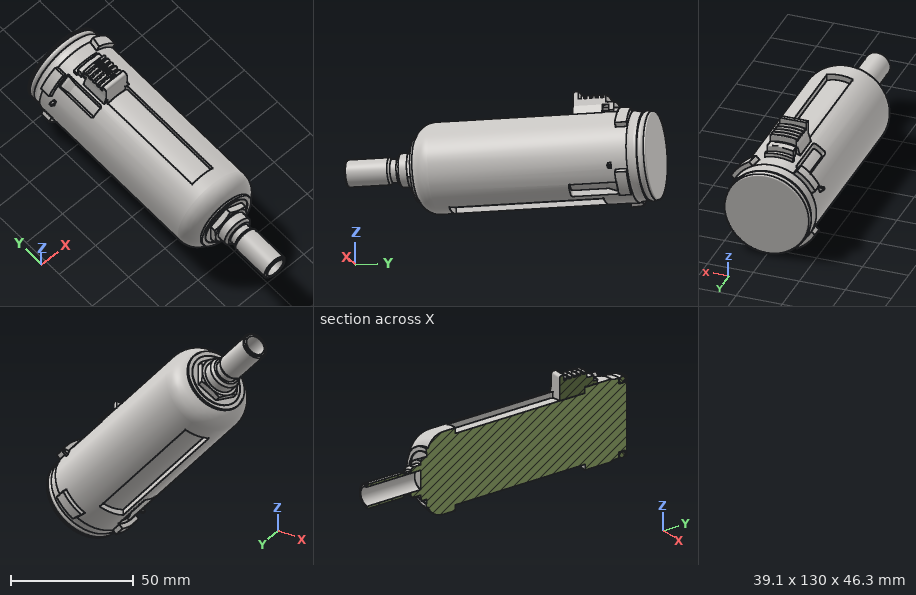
import cadquery as cq
import math

TOTAL_LENGTH = 130.0

BOWL_RADIUS = 37.8 / 2
RIM_RADIUS = 36.5 / 2
CORE_RADIUS = 32.6 / 2
RIM_FILLET = 0.5
CONE_START = 5.3
CONE_END = 7.2
CONE_END_RADIUS = 18.6
SHOULDER_DEPTH = 8.0
DOME_START = 91.6
DOME_FILLET = 8.5
DOME_END = DOME_START + DOME_FILLET

SEAL_THICKNESS = 3.0
SEAL_OUTER_RADIUS = 18.6
SEAL_DEPTH = 2.5
SEAL_CENTRE_RADIUS = SEAL_OUTER_RADIUS - SEAL_THICKNESS / 2
GROOVE_RADIUS = SEAL_OUTER_RADIUS - SEAL_THICKNESS
GROOVE_START = SEAL_DEPTH - SEAL_THICKNESS / 2
GROOVE_END = SEAL_DEPTH + SEAL_THICKNESS / 2

LUG_RADIUS = 21.0
LUG_HALF_WIDTH = 5.6
LUG_SLANT = 1.2
LUG_END = 13.0
LUG_ANGLE = 45.0
PIP_START = 14.7
PIP_END = 15.9
PIP_TOP = 8.3
PIP_TIP = 7.7
PIP_BOTTOM = 5.8
PIP_BOTTOM_REACH = 17.5

WINDOW_WIDTH = 11.3
WINDOW_END = 85.8
LOWER_WINDOW_START = 20.9
CORNER_FILLET = 0.9
SLOT_START = 13.4
SLOT_END = 33.8
SLOT_INNER_X = 8.0
SLOT_FLOOR_RADIUS = 16.6
RAMP_TOP_RADIUS = 17.7
RAMP_START = 14.7
RAMP_END = 18.1

FLANGE_RADIUS = 27.0 / 2
FLANGE_RECESS_RADIUS = 23.0 / 2
FLANGE_HEIGHT = 0.4
HEX_FLATS = 16.9
HEX_END = 103.1
HEX_CHAMFER = 0.5
COLLAR_RADIUS = 14.0 / 2
COLLAR_END = 108.2
COLLAR_CHAMFER = 1.2
NECK_RADIUS = 9.8 / 2
NECK_END = 111.0
PIPE_START = 112.0
PIPE_RADIUS = 11.3 / 2
PIPE_TIP_CHAMFER = 0.5
BORE_RADIUS = 8.6 / 2

LATCH_WIDTH = 11.5
LATCH_END = 33.8
NOSE_WIDTH = 12.2
NOSE_START = 14.7
NOSE_RADIUS = 20.5
STEP_START = 16.5
STEP_RADIUS = 23.0
GRIP_START = 20.0
GRIP_RADIUS = 26.0
GRIP_GROOVE_RADIUS = 25.0
TOOTH_COUNT = 5
TOOTH_PITCH = 2.3
TOOTH_WIDTH = TOOTH_PITCH / 2
CROWN_FILLET = 0.3
FIRST_TOOTH_END = 20.9
FENCE_START = 31.5
FENCE_TOP = 27.36
FENCE_FILLET = 1.0
SKIRT_START = 21.3
SKIRT_TOP = 21.3
SKIRT_WIDTH = 13.8
NOTCH_START = 18.7
NOTCH_DEPTH = 1.3
NOTCH_LEDGE_TOP = 20.2
NOTCH_LEDGE_DEPTH = 0.6
STEM_WIDTH = WINDOW_WIDTH - 2 * CORNER_FILLET

CLEAR = 32.5


def section(depth):
    """Plane across the axis at a depth: local x is X, local y is Z, extrusion goes to -Y."""
    return cq.Workplane("XZ", origin=(0, -depth, 0))


def cylinder(radius, start, end):
    return section(start).circle(radius).extrude(end - start)


def block(width, start, end, bottom, top):
    """Box centred on X between two depths and two heights."""
    return section(start).center(0, (bottom + top) / 2).rect(width, top - bottom).extrude(end - start)


def turned(points):
    """Solid of revolution around Y from (radius, depth) points."""
    profile = [(radius, -depth) for radius, depth in points]
    return cq.Workplane("XY").polyline(profile).close().revolve(360, (0, 0, 0), (0, 1, 0))


def about_axis(shape, angle):
    return shape.rotate((0, 0, 0), (0, 1, 0), angle)


def bowl_blank():
    head = turned([
        (0, 0),
        (RIM_RADIUS, 0),
        (RIM_RADIUS, GROOVE_START),
        (GROOVE_RADIUS, GROOVE_START),
        (GROOVE_RADIUS, GROOVE_END),
        (RIM_RADIUS, GROOVE_END),
        (RIM_RADIUS, CONE_START),
        (CONE_END_RADIUS, CONE_END),
        (BOWL_RADIUS, SHOULDER_DEPTH),
        (0, SHOULDER_DEPTH),
    ])
    head = head.faces(">Y").edges().fillet(RIM_FILLET)
    barrel = cylinder(BOWL_RADIUS, SHOULDER_DEPTH, DOME_END).faces("<Y").edges().fillet(DOME_FILLET)
    return head.union(barrel)


def lug(slant):
    """Bayonet lug at +Z; one side may run askew, wider at its -Y end."""
    outline = [
        (-LUG_HALF_WIDTH, -SHOULDER_DEPTH),
        (LUG_HALF_WIDTH, -SHOULDER_DEPTH),
        (LUG_HALF_WIDTH, -LUG_END),
        (-LUG_HALF_WIDTH - slant, -LUG_END),
    ]
    prism = cq.Workplane("XY").polyline(outline).close().extrude(CLEAR)
    ring = cylinder(LUG_RADIUS, SHOULDER_DEPTH, LUG_END).cut(cylinder(CORE_RADIUS, SHOULDER_DEPTH, LUG_END))
    return prism.intersect(ring)


def pip():
    """Small stop on the -X side with a level top and a sloping underside."""
    def outer_x(height):
        return -math.sqrt(LUG_RADIUS**2 - height**2)

    return (
        section(PIP_START)
        .moveTo(-CORE_RADIUS, PIP_TOP)
        .lineTo(outer_x(PIP_TOP), PIP_TOP)
        .lineTo(outer_x(PIP_TIP), PIP_TIP)
        .lineTo(-PIP_BOTTOM_REACH, PIP_BOTTOM)
        .lineTo(-CORE_RADIUS, PIP_BOTTOM)
        .close()
        .extrude(PIP_END - PIP_START)
    )


def upper_window():
    opening = block(WINDOW_WIDTH, LATCH_END, WINDOW_END, 0, CLEAR)
    opening = opening.edges("|Z and >Y").fillet(CORNER_FILLET)
    return opening.cut(cylinder(CORE_RADIUS, 0, TOTAL_LENGTH))


def lower_window():
    opening = block(WINDOW_WIDTH, LOWER_WINDOW_START, WINDOW_END, -CLEAR, 0)
    return opening.cut(cylinder(CORE_RADIUS, 0, TOTAL_LENGTH))


def ramped_slot():
    """Blind slot between an upright wall and a radial wall; its floor climbs towards the rim."""
    outline = [
        (-SLOT_INNER_X, SLOT_INNER_X),
        (-CLEAR, CLEAR),
        (-SLOT_INNER_X, CLEAR),
    ]
    opening = section(SLOT_START).polyline(outline).close().extrude(SLOT_END - SLOT_START)
    opening = opening.faces(">X or >(-1, 0, -1)").edges("<Y").fillet(CORNER_FILLET)
    floor = turned([
        (0, 0),
        (RAMP_TOP_RADIUS, 0),
        (RAMP_TOP_RADIUS, RAMP_START),
        (SLOT_FLOOR_RADIUS, RAMP_END),
        (SLOT_FLOOR_RADIUS, TOTAL_LENGTH),
        (0, TOTAL_LENGTH),
    ])
    return opening.cut(floor)


def drain_fitting():
    flange = cylinder(FLANGE_RADIUS, DOME_START, DOME_END + FLANGE_HEIGHT)
    flange = flange.cut(cylinder(FLANGE_RECESS_RADIUS, DOME_END, DOME_END + FLANGE_HEIGHT))

    corner_radius = HEX_FLATS / 2 / math.cos(math.radians(30))
    hexagon = section(DOME_START).polygon(6, 2 * corner_radius).extrude(HEX_END - DOME_START)
    hexagon = about_axis(hexagon, 90)
    chamfer_cone = turned([
        (0, DOME_START),
        (corner_radius, DOME_START),
        (corner_radius, HEX_END - HEX_CHAMFER),
        (HEX_FLATS / 2, HEX_END),
        (0, HEX_END),
    ])

    pipe = turned([
        (0, HEX_END),
        (COLLAR_RADIUS, HEX_END),
        (COLLAR_RADIUS, COLLAR_END - COLLAR_CHAMFER),
        (COLLAR_RADIUS - COLLAR_CHAMFER, COLLAR_END),
        (NECK_RADIUS, COLLAR_END),
        (NECK_RADIUS, NECK_END),
        (PIPE_RADIUS, PIPE_START),
        (PIPE_RADIUS, TOTAL_LENGTH - PIPE_TIP_CHAMFER),
        (PIPE_RADIUS - PIPE_TIP_CHAMFER, TOTAL_LENGTH),
        (0, TOTAL_LENGTH),
    ])
    return flange.union(hexagon.intersect(chamfer_cone)).union(pipe)


def latch_pocket():
    """Pocket behind the upper window that holds the stem of the latch."""
    pocket = block(STEM_WIDTH, SKIRT_START, LATCH_END, 0, CLEAR)
    return pocket.cut(cylinder(CORE_RADIUS, 0, TOTAL_LENGTH))


def make_bowl():
    bowl = bowl_blank().union(drain_fitting())
    bowl = bowl.cut(upper_window()).cut(lower_window()).cut(latch_pocket())
    for half_turn in (0, 180):
        bowl = bowl.union(about_axis(lug(LUG_SLANT), half_turn + LUG_ANGLE))
        bowl = bowl.union(about_axis(lug(0), half_turn - LUG_ANGLE))
        bowl = bowl.union(about_axis(pip(), half_turn))
        bowl = bowl.cut(about_axis(ramped_slot(), half_turn))
    return bowl.cut(cylinder(BORE_RADIUS, HEX_END, TOTAL_LENGTH))


def make_seal():
    """O-ring seated on the floor of the rim groove."""
    ring_section = cq.Workplane("XY").center(SEAL_CENTRE_RADIUS, -SEAL_DEPTH).circle(SEAL_THICKNESS / 2)
    return ring_section.revolve(360, (-SEAL_CENTRE_RADIUS, 0, 0), (-SEAL_CENTRE_RADIUS, 1, 0))


def crowned_block(width, start, end, radius):
    """Block on the bowl whose top follows a cylinder around the bowl axis."""
    return block(width, start, end, 0, CLEAR).intersect(cylinder(radius, start, end))


def latch_back():
    """Step, toothed grip and end fence. Teeth and steps are crowned around the bowl axis."""
    profile = [(0, STEP_START), (STEP_RADIUS, STEP_START), (STEP_RADIUS, GRIP_START), (GRIP_RADIUS, GRIP_START)]
    for i in range(TOOTH_COUNT):
        tooth_end = FIRST_TOOTH_END + i * TOOTH_PITCH
        if i > 0:
            profile.append((GRIP_GROOVE_RADIUS, tooth_end - TOOTH_WIDTH))
            profile.append((GRIP_RADIUS, tooth_end - TOOTH_WIDTH))
        profile.append((GRIP_RADIUS, tooth_end))
        profile.append((GRIP_GROOVE_RADIUS, tooth_end))
    profile += [(GRIP_GROOVE_RADIUS, LATCH_END), (0, LATCH_END)]
    step_edges = cq.selectors.RadiusNthSelector(0)
    tooth_edges = cq.selectors.RadiusNthSelector(-1)
    crown = turned(profile).edges(step_edges).fillet(CROWN_FILLET)
    crown = crown.edges(tooth_edges).fillet(CROWN_FILLET)
    fence = block(LATCH_WIDTH, FENCE_START, LATCH_END, 0, FENCE_TOP)
    fence = fence.edges("<Y and >Z").fillet(FENCE_FILLET)
    return crown.intersect(block(LATCH_WIDTH, STEP_START, FENCE_START, 0, CLEAR)).union(fence)


def skirt():
    """Flared foot of the grip, resting on the bowl."""
    skirt_bottom = math.sqrt(BOWL_RADIUS**2 - (SKIRT_WIDTH / 2) ** 2)
    outline = [
        (-LATCH_WIDTH / 2, SKIRT_TOP),
        (LATCH_WIDTH / 2, SKIRT_TOP),
        (SKIRT_WIDTH / 2, skirt_bottom),
        (-SKIRT_WIDTH / 2, skirt_bottom),
    ]
    return section(SKIRT_START).polyline(outline).close().extrude(LATCH_END - SKIRT_START)


def side_notches():
    """Notches in both flanks in front of the skirt, each with a ledge in its lower half."""
    upper_core = LATCH_WIDTH - 2 * NOTCH_DEPTH
    lower_core = LATCH_WIDTH - 2 * NOTCH_LEDGE_DEPTH
    cutter = block(CLEAR, NOTCH_START, SKIRT_START, BOWL_RADIUS, SKIRT_TOP)
    cutter = cutter.cut(block(upper_core, NOTCH_START, SKIRT_START, BOWL_RADIUS, SKIRT_TOP))
    return cutter.cut(block(lower_core, NOTCH_START, SKIRT_START, BOWL_RADIUS, NOTCH_LEDGE_TOP))


def make_latch():
    latch = latch_back()
    latch = latch.cut(block(CLEAR, STEP_START, SKIRT_START, 0, BOWL_RADIUS)).cut(side_notches())
    latch = latch.union(crowned_block(NOSE_WIDTH, NOSE_START, STEP_START, NOSE_RADIUS))
    latch = latch.union(skirt())
    latch = latch.cut(cylinder(BOWL_RADIUS, 0, TOTAL_LENGTH))
    stem = crowned_block(STEM_WIDTH, SKIRT_START, LATCH_END, STEP_RADIUS)
    return latch.union(stem.cut(cylinder(CORE_RADIUS, 0, TOTAL_LENGTH)))


bowl = make_bowl()
seal = make_seal()
latch = make_latch()
result = cq.Compound.makeCompound([bowl.val(), seal.val(), latch.val()])